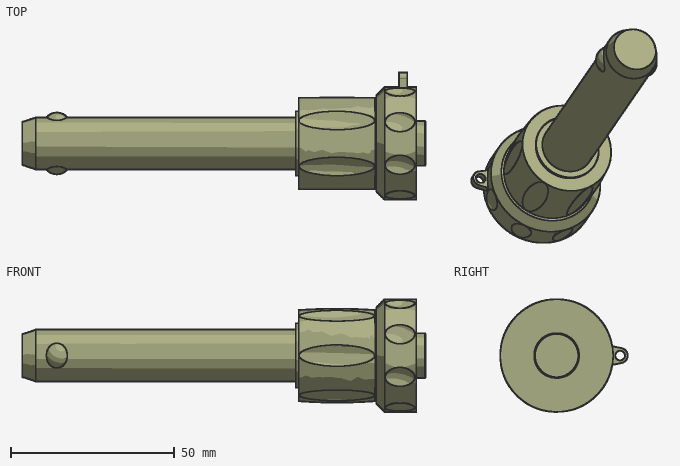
import cadquery as cq
import math

PIN_LENGTH = 123.5
NOSE_X = -PIN_LENGTH / 2
NOSE_LENGTH = 4.2
BALL_OFFSET = 10.6
COLLAR_OFFSET = 83.7
GRIP_OFFSET = 84.6
GRIP_LENGTH = 23.4
NECK_LENGTH = 0.3
HEAD_LENGTH = 12.3
HEAD_OFFSET = GRIP_OFFSET + GRIP_LENGTH + NECK_LENGTH
BUTTON_OFFSET = HEAD_OFFSET + HEAD_LENGTH

NOSE_RADIUS = 6.6
SHANK_RADIUS = 8.0
COLLAR_RADIUS = 9.9
GRIP_END_RADIUS = 14.0
GRIP_MID_RADIUS = 14.45
HEAD_RADIUS = 17.3
HEAD_CHAMFER = 2.6
BUTTON_RADIUS = 6.9
BUTTON_CHAMFER = 0.3

BALL_RADIUS = 4.15
BALL_REACH = 9.5

GROOVE_COUNT = 6
GROOVE_DEPTH = 1.4
GROOVE_LENGTH = 23.0
GROOVE_SECTION_RADIUS = 5.75

DENT_COUNT = 8
DENT_DEPTH = 1.4
DENT_LENGTH = 9.1
DENT_SECTION_RADIUS = 5.0
DENT_OFFSET = 115.6

EYE_CENTER_Y = 19.44
EYE_RADIUS = 2.35
EYE_HOLE_RADIUS = 1.45
EYE_FLARE_ANGLE = 12.0
EYE_OFFSET = 115.3
EYE_THICKNESS = 2.6
EYE_ROOT_Y = HEAD_RADIUS - 2.0


def station(offset):
    """X coordinate at a distance from the nose."""
    return NOSE_X + offset


def rod(offset, length, radius):
    """Cylinder around the pin axis."""
    return cq.Workplane("YZ", origin=(station(offset), 0, 0)).circle(radius).extrude(length)


def shank():
    profile = [
        (station(0), 0),
        (station(0), NOSE_RADIUS),
        (station(NOSE_LENGTH), SHANK_RADIUS),
        (station(GRIP_OFFSET), SHANK_RADIUS),
        (station(GRIP_OFFSET), 0),
    ]
    return cq.Workplane("XY").polyline(profile).close().revolve(360, (0, 0, 0), (1, 0, 0))


def locking_balls():
    center_y = BALL_REACH - BALL_RADIUS
    balls = cq.Workplane("XY").pushPoints([(station(BALL_OFFSET), side * center_y) for side in (-1, 1)])
    return balls.sphere(BALL_RADIUS)


def spindle(middle_offset, length, end_radius, bottom_radius, section_radius):
    """Spindle parallel to the pin on its +Y side, whose belly scoops out one finger hollow.

    The belly runs from end_radius at both ends down to bottom_radius in the middle,
    measured from the pin axis; section_radius is the spindle radius at its middle.
    """
    axis_y = bottom_radius + section_radius
    middle = station(middle_offset)
    start = middle - length / 2
    end = middle + length / 2
    return (
        cq.Workplane("XY")
        .moveTo(start, axis_y)
        .lineTo(start, end_radius)
        .threePointArc((middle, bottom_radius), (end, end_radius))
        .lineTo(end, axis_y)
        .close()
        .revolve(360, (start, axis_y, 0), (end, axis_y, 0))
    )


def cut_around(body, cutter, count, first_angle):
    """Cut equally spaced copies of the cutter around the pin axis."""
    for index in range(count):
        angle = first_angle + index * 360 / count
        body = body.cut(cutter.rotate((0, 0, 0), (1, 0, 0), angle))
    return body


def grip():
    start = station(GRIP_OFFSET)
    end = start + GRIP_LENGTH
    body = (
        cq.Workplane("XY")
        .moveTo(start, 0)
        .lineTo(start, GRIP_END_RADIUS)
        .threePointArc(((start + end) / 2, GRIP_MID_RADIUS), (end, GRIP_END_RADIUS))
        .lineTo(end, 0)
        .close()
        .revolve(360, (0, 0, 0), (1, 0, 0))
    )
    groove = spindle(
        GRIP_OFFSET + GRIP_LENGTH / 2,
        GROOVE_LENGTH,
        GRIP_END_RADIUS,
        GRIP_MID_RADIUS - GROOVE_DEPTH,
        GROOVE_SECTION_RADIUS,
    )
    return cut_around(body, groove, GROOVE_COUNT, 0)


def head():
    body = rod(HEAD_OFFSET, HEAD_LENGTH, HEAD_RADIUS)
    body = body.faces("<X").chamfer(HEAD_CHAMFER)
    dent = spindle(DENT_OFFSET, DENT_LENGTH, HEAD_RADIUS, HEAD_RADIUS - DENT_DEPTH, DENT_SECTION_RADIUS)
    half_pitch = 180 / DENT_COUNT
    return cut_around(body, dent, DENT_COUNT, half_pitch)


def lanyard_eye():
    """Rounded lug with a hole, flaring tangentially towards the head."""
    flare = math.radians(EYE_FLARE_ANGLE)
    tangent_y = EYE_CENTER_Y + EYE_RADIUS * math.sin(flare)
    tangent_z = EYE_RADIUS * math.cos(flare)
    root_z = tangent_z + (tangent_y - EYE_ROOT_Y) * math.tan(flare)
    return (
        cq.Workplane("YZ", origin=(station(EYE_OFFSET), 0, 0))
        .moveTo(EYE_ROOT_Y, -root_z)
        .lineTo(tangent_y, -tangent_z)
        .threePointArc((EYE_CENTER_Y + EYE_RADIUS, 0), (tangent_y, tangent_z))
        .lineTo(EYE_ROOT_Y, root_z)
        .close()
        .moveTo(EYE_CENTER_Y, 0)
        .circle(EYE_HOLE_RADIUS)
        .extrude(EYE_THICKNESS)
    )


collar = rod(COLLAR_OFFSET, GRIP_OFFSET - COLLAR_OFFSET, COLLAR_RADIUS)
neck = rod(GRIP_OFFSET + GRIP_LENGTH, NECK_LENGTH, COLLAR_RADIUS)
button = rod(BUTTON_OFFSET, PIN_LENGTH - BUTTON_OFFSET, BUTTON_RADIUS).faces(">X").chamfer(BUTTON_CHAMFER)

result = shank()
for piece in (locking_balls(), collar, grip(), neck, head(), button, lanyard_eye()):
    result = result.union(piece)